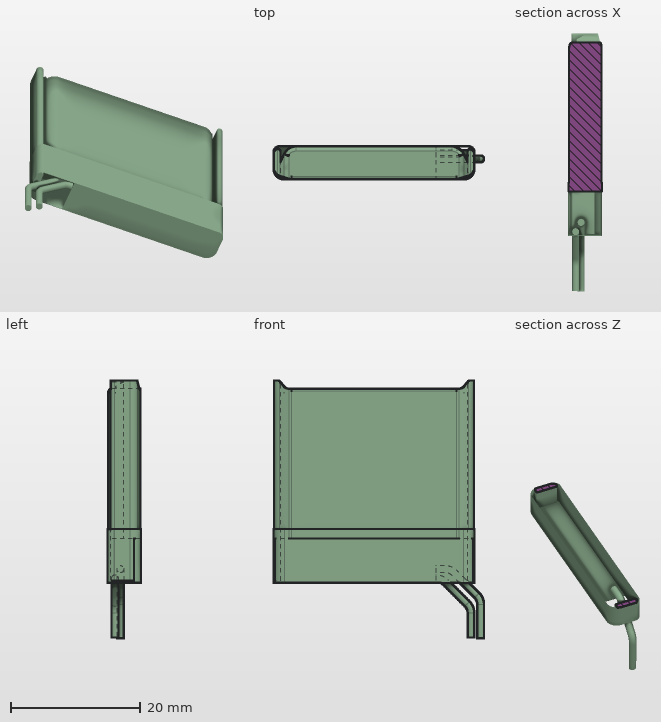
import cadquery as cq
import math

total_height = 39.9
pack_width = 31.12
pack_depth = 5.2

tape_thickness = 0.08
tape_bottom_z = 8.58
tape_top_z = 16.88
tape_front_radius = 1.7
tape_back_radius = 1.05
floor_opening_x = 9.58

inner_half_width = pack_width / 2 - tape_thickness
inner_half_depth = pack_depth / 2 - tape_thickness
inner_front_radius = tape_front_radius - tape_thickness
inner_back_radius = tape_back_radius - tape_thickness

core_bottom_z = 15.45
core_top_z = 38.62
core_back_half_width = 12.1
core_back_radius = 2.0
core_side_slope = 65.0
core_back_fillet = 0.7
core_front_fillet = 0.4
rounding_margin = 0.15
flap_inner_x = 14.5
flap_back_y = 2.1
flap_bottom_z = 8.95
flap_tail_front_y = -1.48
flap_outer_radius = 0.6
flap_inner_radius = 0.3
fold_radius = 1.2
fold_slope = 16.5
crease_blend = 0.2

fold = math.radians(fold_slope)
fold_start_y = inner_front_radius - inner_half_depth
fold_end_x = inner_half_width - fold_radius * (1 - math.sin(fold))
fold_end_y = fold_start_y - fold_radius * math.cos(fold)
crease_x = fold_end_x - (fold_end_y + inner_half_depth) / math.tan(fold)
blend_start_x = crease_x + crease_blend * math.cos(fold)
blend_start_y = crease_blend * math.sin(fold) - inner_half_depth
front_flat_half_width = crease_x - crease_blend

core_top_half_width = 13.15
shoulder_slope = 50.0
shoulder_low_radius = 0.95
shoulder_high_radius = 0.45

wire_diameter = 1.08
wire_bend_radius = 2.0
wire_bend_angle = math.radians(45)
wire_reach = 1.48
wire_start_x = 9.58
inner_wire_x = 15.0
inner_wire_y = 1.45
outer_wire_x = pack_width / 2 + wire_reach - wire_diameter / 2
outer_wire_y = 0.6
wires = [
    (inner_wire_x, inner_wire_y, 0.1, 3.9, 9.25),
    (outer_wire_x, outer_wire_y, 0.0, 5.23, 10.7),
]


def rounded_prism(half_width, half_depth, front_radius, back_radius, bottom_z, top_z):
    """Upright rectangular prism with one radius for its front and one for its back edges."""
    prism = cq.Workplane("XY").workplane(offset=bottom_z)
    prism = prism.rect(2 * half_width, 2 * half_depth).extrude(top_z - bottom_z)
    prism = prism.edges("|Z and <Y").fillet(front_radius)
    return prism.edges("|Z and >Y").fillet(back_radius)


def make_tape():
    outside = rounded_prism(
        pack_width / 2, pack_depth / 2, tape_front_radius, tape_back_radius, tape_bottom_z, tape_top_z
    )
    space = rounded_prism(
        inner_half_width, inner_half_depth, inner_front_radius, inner_back_radius, tape_bottom_z, tape_top_z
    )
    floor_left_x = -inner_half_width
    floor = cq.Workplane("XY", origin=(floor_left_x, 0, tape_bottom_z)).box(
        floor_opening_x - floor_left_x, pack_depth, tape_thickness, centered=(False, True, False)
    )
    return outside.cut(space.cut(floor))


def half_cell_prism():
    """Right half of the cell, extruded over its full height from its plan outline."""
    side = math.radians(core_side_slope)
    arc_end_x = core_back_half_width + core_back_radius * math.sin(side)
    arc_end_y = inner_half_depth - core_back_radius * (1 - math.cos(side))
    notch_y = arc_end_y - (flap_inner_x - arc_end_x) * math.tan(side)

    outline = (
        cq.Workplane("XY").workplane(offset=flap_bottom_z)
        .moveTo(0, inner_half_depth)
        .lineTo(core_back_half_width, inner_half_depth)
        .tangentArcPoint((arc_end_x, arc_end_y), relative=False)
        .lineTo(flap_inner_x, notch_y)
        .lineTo(flap_inner_x, flap_back_y - flap_inner_radius)
        .tangentArcPoint((flap_inner_x + flap_inner_radius, flap_back_y), relative=False)
        .lineTo(inner_half_width - flap_outer_radius, flap_back_y)
        .tangentArcPoint((inner_half_width, flap_back_y - flap_outer_radius), relative=False)
        .lineTo(inner_half_width, fold_start_y)
        .tangentArcPoint((fold_end_x, fold_end_y), relative=False)
        .lineTo(blend_start_x, blend_start_y)
        .tangentArcPoint((front_flat_half_width, -inner_half_depth), relative=False)
        .lineTo(0, -inner_half_depth)
        .close()
    )
    return outline.extrude(total_height - flap_bottom_z)


def half_top_cut():
    """Space above the core, right half, rising to the flap top over a blended shoulder."""
    slope = math.radians(shoulder_slope)
    low_end_x = core_top_half_width + shoulder_low_radius * math.sin(slope)
    low_end_z = core_top_z + shoulder_low_radius * (1 - math.cos(slope))
    high_start_z = total_height - shoulder_high_radius * (1 - math.cos(slope))
    high_start_x = low_end_x + (high_start_z - low_end_z) / math.tan(slope)
    high_end_x = high_start_x + shoulder_high_radius * math.sin(slope)
    return (
        cq.Workplane("XZ")
        .moveTo(0, core_top_z)
        .lineTo(core_top_half_width, core_top_z)
        .tangentArcPoint((low_end_x, low_end_z), relative=False)
        .lineTo(high_start_x, high_start_z)
        .tangentArcPoint((high_end_x, total_height), relative=False)
        .lineTo(0, total_height)
        .close()
        .extrude(pack_depth / 2, both=True)
    )


def half_bottom_cut():
    """Space below the core, right half, leaving only the tail of the flap."""
    height = core_bottom_z - flap_bottom_z
    below_core = cq.Workplane("XY", origin=(0, 0, flap_bottom_z)).box(
        flap_inner_x, pack_depth, height, centered=(False, True, False)
    )
    before_tail = cq.Workplane("XY", origin=(0, flap_tail_front_y - pack_depth, flap_bottom_z)).box(
        pack_width, pack_depth, height, centered=False
    )
    return below_core.union(before_tail)


def rounding_section(origin_x, origin_y, face_offset, radius, outward):
    """Area outside a rounded top edge, in a YZ plane; `outward` is +1 for a back face, -1 for a front one."""
    inside = face_offset - outward * radius
    outside = face_offset + outward * rounding_margin
    low_z = core_top_z - radius
    middle = (inside + outward * radius * math.sqrt(0.5), low_z + radius * math.sqrt(0.5))
    return (
        cq.Workplane("YZ", origin=(origin_x, origin_y, 0))
        .moveTo(inside, total_height)
        .lineTo(inside, core_top_z)
        .threePointArc(middle, (face_offset, low_z))
        .lineTo(outside, low_z)
        .lineTo(outside, total_height)
        .close()
    )


def half_back_rounding():
    """Rounding of the core's top back edge, straight along X and then around the corner."""
    corner_y = inner_half_depth - core_back_radius
    section_shape = (core_back_half_width, corner_y, core_back_radius, core_back_fillet, 1)
    along_back = rounding_section(*section_shape).extrude(-core_back_half_width)
    around_corner = rounding_section(*section_shape).revolve(core_side_slope, (0, 0), (0, -1))
    return along_back.union(around_corner)


def half_front_rounding():
    """Rounding of the core's top front edge, along the flat front face."""
    section = rounding_section(0, 0, -inner_half_depth, core_front_fillet, -1)
    return section.extrude(front_flat_half_width)


def make_cell():
    half = half_cell_prism().cut(half_top_cut()).cut(half_bottom_cut())
    half = half.cut(half_back_rounding()).cut(half_front_rounding())
    return half.union(half.mirror("YZ"))


def make_wire(x, y, low_z, bend_z, start_z):
    """Round wire that starts level inside the sleeve, slants down to the right and then hangs straight."""
    bend_across = wire_bend_radius * (1 - math.cos(wire_bend_angle))
    bend_along = wire_bend_radius * math.sin(wire_bend_angle)
    slant_low = (x - bend_across, bend_z + bend_along)
    slant_high_z = start_z - bend_across
    slant_high_x = slant_low[0] - (slant_high_z - slant_low[1]) / math.tan(wire_bend_angle)
    path = (
        cq.Workplane("XZ", origin=(0, y, 0))
        .moveTo(x, low_z)
        .lineTo(x, bend_z)
        .tangentArcPoint(slant_low, relative=False)
        .lineTo(slant_high_x, slant_high_z)
        .tangentArcPoint((slant_high_x - bend_along, start_z), relative=False)
        .lineTo(wire_start_x, start_z)
    )
    section = cq.Workplane("XY", origin=(x, y, low_z)).circle(wire_diameter / 2)
    return section.sweep(path)


tape = make_tape()
cell = make_cell()
wire_bodies = [make_wire(*wire).val() for wire in wires]

result = cq.Compound.makeCompound([tape.val(), cell.val(), *wire_bodies])